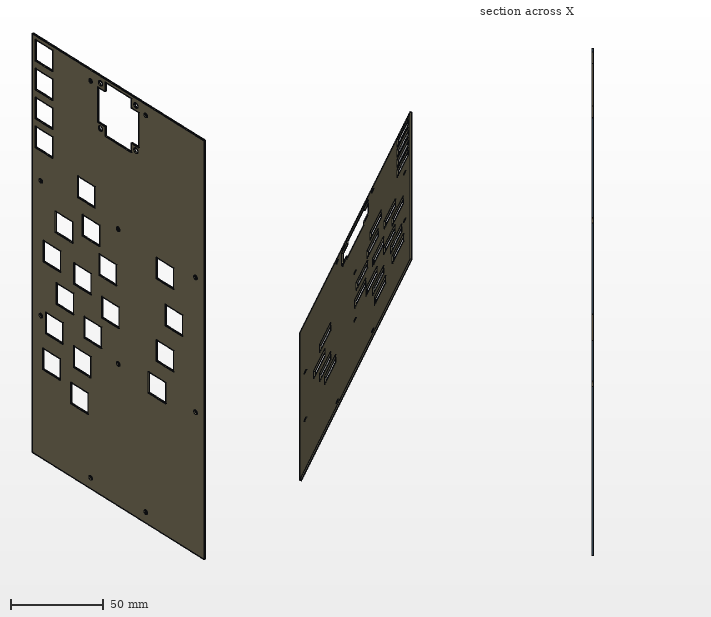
import cadquery as cq

PLATE_WIDTH = 139.0
PLATE_HEIGHT = 275.0
PLATE_THICKNESS = 1.0

KEY_SIZE = 14.0

COLUMN_X = -60.0
COLUMN_TOP_Z = 128.0
COLUMN_PITCH = 19.0
COLUMN_KEYS = 4

LEFT_KEYS = [
    (-25.8, 55.5),
    (-22.0, 32.2),
    (-43.7, 23.5),
    (-8.5, 13.2),
    (-53.5, -0.8),
    (-29.0, -3.0),
    (-6.3, -13.8),
    (-43.2, -23.5),
    (-20.5, -34.0),
    (-51.7, -47.0),
    (-29.2, -57.8),
    (-54.0, -71.8),
    (-31.4, -82.8),
]

RIGHT_KEYS = [
    (37.7, 34.5),
    (44.8, 7.2),
    (37.7, -19.8),
    (31.4, -44.0),
]

WINDOW_Z = 117.7
WINDOW_WIDTH = 33.3
WINDOW_SHOULDER_HEIGHT = 23.0
WINDOW_NECK_WIDTH = 21.2
WINDOW_HEIGHT = 35.5

DISPLAY_HOLE_DIAMETER = 3.3
DISPLAY_HOLE_X = 14.3
DISPLAY_HOLE_TOP_Z = 132.8
DISPLAY_HOLE_BOTTOM_Z = 103.0

MOUNT_HOLE_DIAMETER = 2.7
MIDDLE_MOUNT_X = 62.5
MIDDLE_MOUNT_Z = 44.3
END_MOUNT_X = 22.3
END_MOUNT_Z = 130.4


def rectangle_cutter(x, z, width, height):
    """A block through the full plate thickness, centred at (x, z)."""
    return cq.Workplane("XY").box(width, PLATE_THICKNESS, height).translate((x, 0, z))


def drill(plate, centres, diameter):
    """The plate with round through holes at the given (x, z) centres."""
    cutters = (
        cq.Workplane("XZ")
        .pushPoints(centres)
        .circle(diameter / 2)
        .extrude(PLATE_THICKNESS / 2, both=True)
    )
    return plate.cut(cutters)


result = cq.Workplane("XY").box(PLATE_WIDTH, PLATE_THICKNESS, PLATE_HEIGHT)

column_keys = [(COLUMN_X, COLUMN_TOP_Z - i * COLUMN_PITCH) for i in range(COLUMN_KEYS)]
for key_x, key_z in column_keys + LEFT_KEYS + RIGHT_KEYS:
    result = result.cut(rectangle_cutter(key_x, key_z, KEY_SIZE, KEY_SIZE))

result = result.cut(rectangle_cutter(0, WINDOW_Z, WINDOW_WIDTH, WINDOW_SHOULDER_HEIGHT))
result = result.cut(rectangle_cutter(0, WINDOW_Z, WINDOW_NECK_WIDTH, WINDOW_HEIGHT))
display_holes = [
    (side * DISPLAY_HOLE_X, z)
    for side in (-1, 1)
    for z in (DISPLAY_HOLE_TOP_Z, DISPLAY_HOLE_BOTTOM_Z)
]
result = drill(result, display_holes, DISPLAY_HOLE_DIAMETER)

middle_mounts = [
    (x, z)
    for x in (-MIDDLE_MOUNT_X, 0, MIDDLE_MOUNT_X)
    for z in (-MIDDLE_MOUNT_Z, MIDDLE_MOUNT_Z)
]
end_mounts = [(x, z) for x in (-END_MOUNT_X, END_MOUNT_X) for z in (-END_MOUNT_Z, END_MOUNT_Z)]
result = drill(result, middle_mounts + end_mounts, MOUNT_HOLE_DIAMETER)